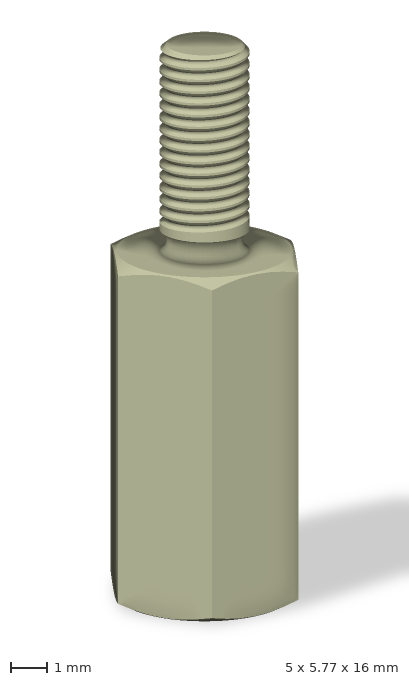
import cadquery as cq
import math

total_height = 16
body_height = 10.0
across_flats = 5.0
across_corners = across_flats / math.cos(math.pi / 6)
end_face_radius = 2.43
corner_drop = 0.24
hexagon_turn = 30
envelope_margin = 0.16

stud_radius = 2.5 / 2
tip_radius = 1.05
tip_chamfer_height = 0.16
neck_radius = 1.05
neck_top = 10.62

thread_length = 5.12
thread_turns = 15
pitch = thread_length / thread_turns
groove_depth = 0.152
groove_width = 0.27
groove_start = 10.83
groove_start_angle = 90
groove_overrun = 0.4
cutter_clearance = 0.02
stud_seam_angle = 200


def make_body():
    """Hexagonal prism, two corners on the Y axis, with both ends turned to a cone."""
    hexagon = cq.Workplane("XY").polygon(6, across_corners).extrude(body_height)
    hexagon = hexagon.rotate((0, 0, 0), (0, 0, 1), hexagon_turn)
    corner_radius = across_corners / 2
    drop_per_radius = corner_drop / (corner_radius - end_face_radius)
    envelope_radius = corner_radius + envelope_margin
    envelope_drop = drop_per_radius * (envelope_radius - end_face_radius)
    envelope = (
        cq.Workplane("XZ")
        .lineTo(end_face_radius, 0)
        .lineTo(envelope_radius, envelope_drop)
        .lineTo(envelope_radius, body_height - envelope_drop)
        .lineTo(end_face_radius, body_height)
        .lineTo(0, body_height)
        .close()
        .revolve(360, (0, 0, 0), (0, 1, 0))
    )
    return hexagon.intersect(envelope)


def make_stud():
    """Round stud with a concave neck and a chamfered tip."""
    return (
        cq.Workplane("XZ")
        .moveTo(0, body_height)
        .lineTo(stud_radius, body_height)
        .threePointArc((neck_radius, (body_height + neck_top) / 2), (stud_radius, neck_top))
        .lineTo(stud_radius, total_height - tip_chamfer_height)
        .lineTo(tip_radius, total_height)
        .lineTo(0, total_height)
        .close()
        .revolve(360, (0, 0, 0), (0, 1, 0))
    )


def make_thread_cutter():
    """V-shaped groove swept along a helix that starts on the +Y side."""
    helix_height = total_height + groove_overrun - groove_start
    root_radius = stud_radius - groove_depth
    outer_radius = stud_radius + cutter_clearance
    half_width = groove_width / 2 * (groove_depth + cutter_clearance) / groove_depth
    helix = cq.Wire.makeHelix(pitch, helix_height, stud_radius)
    cutter = (
        cq.Workplane("XZ")
        .moveTo(root_radius, 0)
        .lineTo(outer_radius, half_width)
        .lineTo(outer_radius, -half_width)
        .close()
        .sweep(cq.Workplane(helix), isFrenet=True)
    )
    cutter = cutter.rotate((0, 0, 0), (0, 0, 1), groove_start_angle)
    return cutter.translate((0, 0, groove_start))


turned_stud = make_stud().rotate((0, 0, 0), (0, 0, 1), stud_seam_angle)
threaded_stud = turned_stud.cut(make_thread_cutter())
result = make_body().union(threaded_stud).solids()